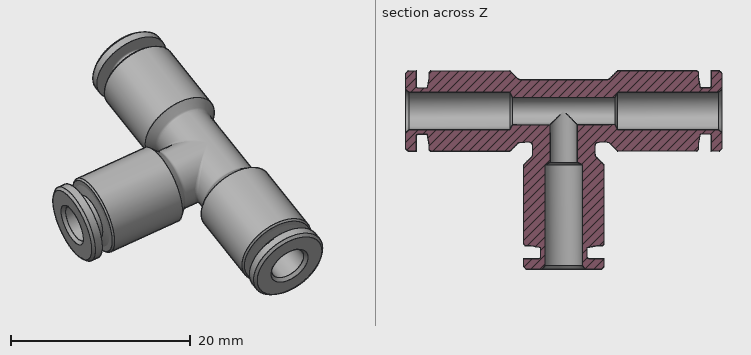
import math

import cadquery as cq


PORT_LENGTH = 17.6
COLLAR_THICKNESS = 1.2
COLLAR_GAP = 1.2
SHOULDER_END = 6.0
TUBE_SEAT = 6.0
SEAT_CONE_LENGTH = 0.3
BORE_END = TUBE_SEAT - SEAT_CONE_LENGTH

BODY_DIAMETER = 9.0
BODY_CONE_DIAMETER = 7.4
TEE_DIAMETER = 7.0
NECK_DIAMETER = 5.2
MOUTH_DIAMETER = 4.8
TUBE_DIAMETER = 4.15
BORE_DIAMETER = 3.0

COLLAR_CHAMFER = 0.3
BODY_CHAMFER = 0.2
BODY_CONE_HEIGHT = 0.2
MOUTH_DEPTH = 0.4
ROOT_RADIUS = 0.5
NECK_RADIUS = 0.2
CROTCH_RADIUS = 0.3

SHOULDER_ANGLE = math.radians(45)

PORT_DIRECTIONS = (180, 0, -90)


def revolve_about_x(profile):
    """Full revolution of a closed XY profile about the X axis."""
    return profile.revolve(360, (0, 0, 0), (1, 0, 0))


def aim(shape, direction):
    """Turn a shape built along +X to a port direction."""
    return shape.rotate((0, 0, 0), (0, 0, 1), direction)


def crossing_cylinders(diameter, reach):
    """Equal cylinders along the run and the branch, from the origin out to reach."""
    run = cq.Workplane("YZ").circle(diameter / 2).extrude(reach, both=True)
    branch = cq.Workplane("XZ").circle(diameter / 2).extrude(reach)
    return run.union(branch)


def tee_core():
    """Two equal solid cylinders forming the tee, with their crotch rounded."""
    tee = crossing_cylinders(TEE_DIAMETER, SHOULDER_END)
    return tee.edges("not %CIRCLE").edges("not %LINE").fillet(CROTCH_RADIUS)


def port():
    """Solid port along +X: root fillet, shoulder, body, neck and collar."""
    body_r = BODY_DIAMETER / 2
    tee_r = TEE_DIAMETER / 2
    neck_r = NECK_DIAMETER / 2

    collar_back = PORT_LENGTH - COLLAR_THICKNESS
    cone_tip = collar_back - COLLAR_GAP
    body_face = cone_tip - BODY_CONE_HEIGHT

    root = SHOULDER_END - (body_r - tee_r) / math.tan(SHOULDER_ANGLE)
    tangent = ROOT_RADIUS * math.tan(SHOULDER_ANGLE / 2)
    fillet_start = root - tangent
    fillet_end = (
        root + tangent * math.cos(SHOULDER_ANGLE),
        tee_r + tangent * math.sin(SHOULDER_ANGLE),
    )

    profile = (
        cq.Workplane("XY")
        .moveTo(fillet_start, 0)
        .lineTo(fillet_start, tee_r)
        .radiusArc(fillet_end, -ROOT_RADIUS)
        .lineTo(SHOULDER_END, body_r)
        .lineTo(body_face - BODY_CHAMFER, body_r)
        .lineTo(body_face, body_r - BODY_CHAMFER)
        .lineTo(body_face, BODY_CONE_DIAMETER / 2)
        .lineTo(cone_tip, neck_r)
        .lineTo(collar_back - NECK_RADIUS, neck_r)
        .radiusArc((collar_back, neck_r + NECK_RADIUS), -NECK_RADIUS)
        .lineTo(collar_back, body_r)
        .lineTo(PORT_LENGTH - COLLAR_CHAMFER, body_r)
        .lineTo(PORT_LENGTH, body_r - COLLAR_CHAMFER)
        .lineTo(PORT_LENGTH, 0)
        .close()
    )
    return revolve_about_x(profile)


def tube_socket():
    """Void along +X: conical tube seat, tube socket and flared mouth."""
    tube_r = TUBE_DIAMETER / 2
    profile = (
        cq.Workplane("XY")
        .moveTo(BORE_END, 0)
        .lineTo(BORE_END, BORE_DIAMETER / 2)
        .lineTo(TUBE_SEAT, tube_r)
        .lineTo(PORT_LENGTH - MOUTH_DEPTH, tube_r)
        .lineTo(PORT_LENGTH, MOUTH_DIAMETER / 2)
        .lineTo(PORT_LENGTH, 0)
        .close()
    )
    return revolve_about_x(profile)


result = tee_core()
for direction in PORT_DIRECTIONS:
    result = result.union(aim(port(), direction))
for direction in PORT_DIRECTIONS:
    result = result.cut(aim(tube_socket(), direction))
result = result.cut(crossing_cylinders(BORE_DIAMETER, BORE_END))